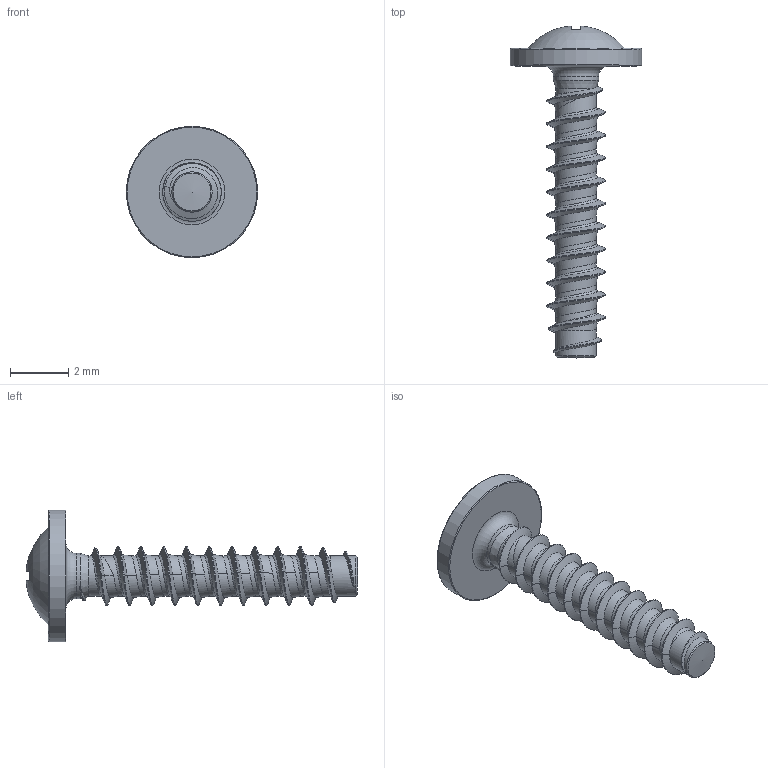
import cadquery as cq
import math


flange_radius = 2.25
flange_thickness = 0.6
flange_edge_fillet = 0.03
dome_radius_at_flange = 1.665
dome_height = 0.78

recess_span = 1.46
recess_wing_width = 0.32
recess_depth = 0.7

shank_length = 10.0
tip_cone_height = 0.03
tip_edge_chamfer = 0.04
core_radius = 0.69
tip_edge_height = tip_cone_height - shank_length
neck_radius = 0.775
neck_fillet = 0.35
neck_end_depth = 0.49
neck_cone_end_depth = 0.78

pitch = 0.78
crest_radius = 1.0
crest_width = 0.03
root_radius = 0.735
flank_foot = 0.12
head_side_ramp_end = -0.21
tip_side_ramp_end = 0.50
relief_radius = 0.68
embedded_radius = 0.6
crest_depth_at_plus_x = 0.81
thread_start_depth = 0.42
thread_tip_gap = 0.15
thread_end_depth = shank_length - thread_tip_gap
head_fade_length = pitch
tip_fade_length = 1.6 * pitch
points_per_turn = 16


def make_body():
    """Dome, flange, neck and core as one revolved half profile."""
    head_top = flange_thickness + dome_height
    sphere_radius = (dome_radius_at_flange**2 + dome_height**2) / (2 * dome_height)
    half_angle = math.asin(dome_radius_at_flange / sphere_radius) / 2
    dome_mid = (
        sphere_radius * math.sin(half_angle),
        head_top - sphere_radius * (1 - math.cos(half_angle)),
    )
    edge = flange_edge_fillet
    arc_inset = neck_fillet * (1 - math.sqrt(0.5))
    return (
        cq.Workplane("XY")
        .moveTo(0, head_top)
        .threePointArc(dome_mid, (dome_radius_at_flange, flange_thickness))
        .lineTo(flange_radius - edge, flange_thickness)
        .radiusArc((flange_radius, flange_thickness - edge), edge)
        .lineTo(flange_radius, edge)
        .radiusArc((flange_radius - edge, 0), edge)
        .lineTo(neck_radius + neck_fillet, 0)
        .threePointArc((neck_radius + arc_inset, -arc_inset), (neck_radius, -neck_fillet))
        .lineTo(neck_radius, -neck_end_depth)
        .lineTo(core_radius, -neck_cone_end_depth)
        .lineTo(core_radius, tip_edge_height + tip_edge_chamfer)
        .lineTo(core_radius - tip_edge_chamfer, tip_edge_height)
        .lineTo(0, -shank_length)
        .close()
        .revolve(360, (0, 0, 0), (0, 1, 0))
    )


def make_recess():
    """Two crossed wings cut down from the top of the dome."""
    centre_height = flange_thickness + dome_height - recess_depth / 2
    wing_x = cq.Workplane("XY").box(recess_span, recess_depth, recess_wing_width)
    wing_z = cq.Workplane("XY").box(recess_wing_width, recess_depth, recess_span)
    return wing_x.union(wing_z).translate((0, centre_height, 0))


def thread_sink(depth):
    """Radial distance by which the thread is sunk into the core at its two run-outs."""
    head_fraction = (depth - thread_start_depth) / head_fade_length
    tip_fraction = (thread_end_depth - depth) / tip_fade_length
    fraction = max(0.0, min(1.0, head_fraction, tip_fraction))
    return (crest_radius - core_radius) * (1 - math.sqrt(fraction))


def make_thread():
    """Right-handed thread: ruled faces, turn by turn, between helices at the profile corners."""
    profile = [
        (head_side_ramp_end, embedded_radius),
        (head_side_ramp_end, relief_radius),
        (-flank_foot, root_radius),
        (-crest_width / 2, crest_radius),
        (crest_width / 2, crest_radius),
        (flank_foot, root_radius),
        (tip_side_ramp_end, relief_radius),
        (tip_side_ramp_end, embedded_radius),
    ]
    thread_length = thread_end_depth - thread_start_depth
    steps = math.ceil(thread_length / pitch * points_per_turn)
    depths = [thread_start_depth + thread_length * i / steps for i in range(steps + 1)]

    def corner_point(offset, radius, depth):
        angle = 2 * math.pi * (depth - crest_depth_at_plus_x) / pitch
        sunk_radius = radius - thread_sink(depth)
        return cq.Vector(sunk_radius * math.cos(angle), -depth - offset, sunk_radius * math.sin(angle))

    faces = []
    for first in range(0, steps, points_per_turn):
        span = depths[first:first + points_per_turn + 1]
        helices = [
            cq.Edge.makeSpline([corner_point(offset, radius, d) for d in span], parameters=span)
            for offset, radius in profile
        ]
        next_helices = helices[1:] + helices[:1]
        for helix, next_helix in zip(helices, next_helices):
            faces.append(cq.Face.makeRuledSurface(helix, next_helix))
    for depth in (thread_start_depth, thread_end_depth):
        corners = [corner_point(offset, radius, depth) for offset, radius in profile]
        faces.append(cq.Face.makeFromWires(cq.Wire.makePolygon(corners, close=True)))
    thread = cq.Workplane(obj=cq.Solid.makeSolid(cq.Shell.makeShell(faces)))

    beyond_tip = (
        cq.Workplane("XZ", origin=(0, tip_edge_height + tip_edge_chamfer, 0))
        .circle(2 * crest_radius)
        .extrude(pitch)
    )
    return thread.cut(beyond_tip)


result = make_body().union(make_thread()).cut(make_recess())